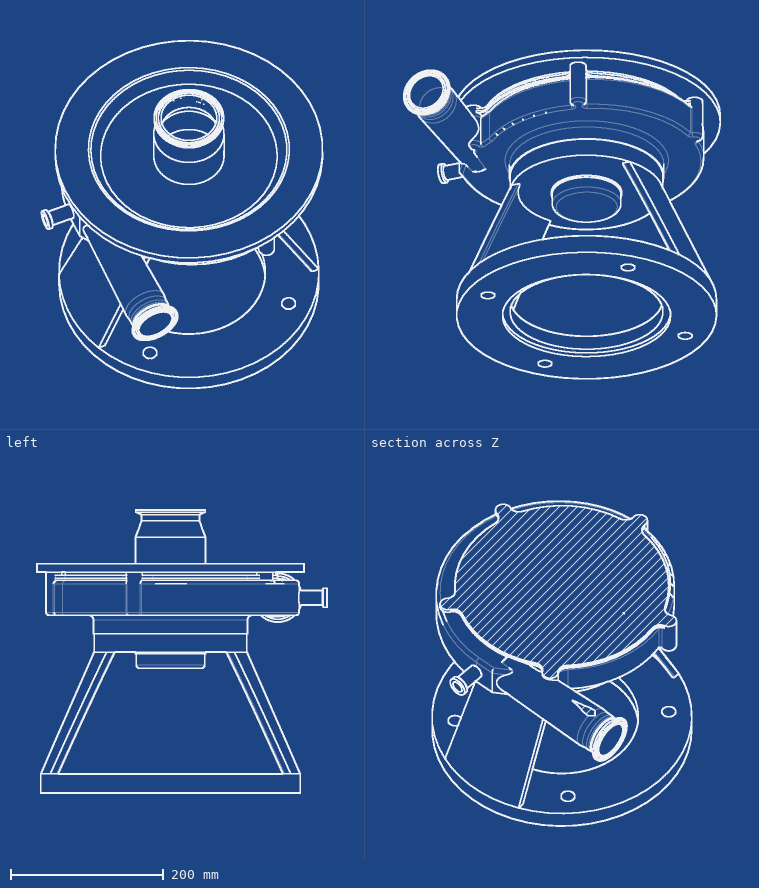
import cadquery as cq
import math

BASE_RADIUS = 170.0
BASE_THICKNESS = 25.0
BASE_OPENING_RADIUS = 100.0
BASE_RECESS_RADIUS = 110.0
BASE_RECESS_DEPTH = 5.5
BASE_BOLT_CIRCLE_RADIUS = 140.0
BASE_BOLT_HOLE_DIAMETER = 18.0
BASE_BOLT_COUNT = 4

COLLAR_BOTTOM_Z = 184.5
COLLAR_JOINT_Z = 208.5
COLLAR_LOWER_RADIUS = 100.0
COLLAR_UPPER_RADIUS = 101.0
COLLAR_BLEND_RADIUS = 6.0
HUB_BOTTOM_Z = 163.0
HUB_RADIUS = 45.0
HUB_FILLET = 5.0
HUB_SHOULDER_RADIUS = 46.0
HUB_SHOULDER_HEIGHT = 2.5

LEG_WALL = 10.5
LEG_INNER_FILLET = 2.0
LEG_TOP_HALF_WIDTH = 55.0
LEG_BOTTOM_HALF_WIDTH = 64.5

CASING_MID_Z = 255.5
CASING_HEIGHT = 46.0
CASING_BOTTOM_Z = CASING_MID_Z - CASING_HEIGHT / 2
CASING_TOP_Z = CASING_MID_Z + CASING_HEIGHT / 2
VOLUTE_START_ANGLE = -45.0
VOLUTE_END_ANGLE = 270.0
VOLUTE_END_RADIUS = 168.3
VOLUTE_GROWTH_PER_TURN = 34.3
VOLUTE_FLAT_LENGTH = 28.0
VOLUTE_THROAT_X = 72.0
VOLUTE_THROAT_SLOPE = 32.0
CASING_TOP_FILLET = 5.0
CASING_BOTTOM_FILLET = 4.0

RIM_RADIUS = 140.0
RIM_TOP_Z = 285.0
RIM_JOINT_Z = 281.0
RIM_JOINT_STEP = 0.4
NECK_RADIUS = 138.0
BOSS_COUNT = 5
BOSS_FIRST_ANGLE = 18.0
BOSS_CIRCLE_RADIUS = 152.5
BOSS_RADIUS = 10.5
LUG_BLEND_RADIUS = 12.0
LUG_OVERLAP = 0.05
BOSS_BLEND_RADIUS = 2.0

PLATE_RADIUS = 175.0
PLATE_TOP_Z = 300.0
PLATE_THICKNESS = 11.0
PLATE_BOTTOM_Z = PLATE_TOP_Z - PLATE_THICKNESS
POCKET_DEPTH = 15.0
POCKET_FLOOR_RADIUS = 115.5
POCKET_WALL_TOP_RADIUS = 128.2
POCKET_EDGE_RADIUS = 131.4
POCKET_EDGE_DEPTH = 1.5
POCKET_FLOOR_Z = PLATE_TOP_Z - POCKET_DEPTH

INLET_TOP_Z = 370.5
INLET_BODY_RADIUS = 46.0
INLET_TUBE_RADIUS = 38.1
INLET_FLANGE_RADIUS = 45.5
INLET_BORE_RADIUS = 36.45
INLET_BODY_BORE_RADIUS = 42.5
INLET_CONE_BOTTOM_Z = 334.5
INLET_CONE_TOP_Z = 356.0
INLET_BORE_CONE_BOTTOM_Z = 326.0
INLET_BORE_CONE_TOP_Z = 343.0

OUTLET_AXIS_Y = -140.3
OUTLET_END_X = 211.0
OUTLET_START_X = 28.0
OUTLET_START_RADIUS = 24.8
OUTLET_CONE_END_X = 177.0
OUTLET_CONE_END_RADIUS = 28.2
OUTLET_REDUCER_END_X = 185.5
OUTLET_REDUCER_END_RADIUS = 27.2
OUTLET_WELD_BAND_X = (192.5, 196.0)
OUTLET_TUBE_RADIUS = 26.7
OUTLET_NECK_START_X = 199.3
OUTLET_NECK_END_X = 200.5
OUTLET_NECK_RADIUS = 26.2
OUTLET_BORE_RADIUS = 23.8
OUTLET_FLANGE_RADIUS = 32.0
OUTLET_WALL = 2.0

NOZZLE_END_Y = -205.0
NOZZLE_TUBE_RADIUS = 9.55
NOZZLE_BORE_RADIUS = 7.9
NOZZLE_FLANGE_RADIUS = 12.7
NOZZLE_FLANGE_THICKNESS = 5.0
NOZZLE_TAPER_LENGTH = 1.5
NOZZLE_EMBED = 5.0

CLAMP_RIM_THICKNESS = 2.9
CLAMP_TAPER_LENGTH = 3.6
CLAMP_GROOVE_WIDTH = 3.0
CLAMP_GROOVE_DEPTH = 1.5
CLAMP_GROOVE_INSET = 2.5


def disc(radius, bottom_z, top_z):
    """Vertical cylinder about the Z axis."""
    return cq.Workplane("XY", origin=(0, 0, bottom_z)).circle(radius).extrude(top_z - bottom_z)


def turned(profile):
    """Solid of revolution about Z from (radius, z) points."""
    return cq.Workplane("XZ").polyline(profile).close().revolve(360, (0, 0), (0, 1))


def polar(radius, angle):
    """Point in the XY plane at an angle given in degrees."""
    return (radius * math.cos(math.radians(angle)), radius * math.sin(math.radians(angle)))


def clamp_profile(flange_radius, tube_radius, end):
    """Outer (radius, axial) points of a clamp flange, from its tube to its end face."""
    rim_start = end - CLAMP_RIM_THICKNESS
    taper_start = rim_start - CLAMP_TAPER_LENGTH
    return [(tube_radius, taper_start), (flange_radius, rim_start), (flange_radius, end)]


def clamp_groove(flange_radius, end):
    """Gasket groove in the end face of a clamp flange, as a ring about Z."""
    outer = flange_radius - CLAMP_GROOVE_INSET
    ring = disc(outer, end - CLAMP_GROOVE_DEPTH, end)
    return ring.cut(disc(outer - CLAMP_GROOVE_WIDTH, end - CLAMP_GROOVE_DEPTH, end))


def make_base():
    """Ring plate with bolt holes and a shallow recess under its opening."""
    holes = (
        cq.Workplane("XY")
        .polarArray(BASE_BOLT_CIRCLE_RADIUS, 360 / BASE_BOLT_COUNT / 2, 360, BASE_BOLT_COUNT)
        .circle(BASE_BOLT_HOLE_DIAMETER / 2)
        .extrude(BASE_THICKNESS)
    )
    plate = disc(BASE_RADIUS, 0, BASE_THICKNESS)
    plate = plate.cut(disc(BASE_OPENING_RADIUS, 0, BASE_THICKNESS))
    plate = plate.cut(disc(BASE_RECESS_RADIUS, 0, BASE_RECESS_DEPTH))
    return plate.cut(holes)


def is_inner_leg_edge(edge):
    """True for the long leg edges that lie on the inner cone."""
    middle = edge.positionAt(0.5)
    height_share = (middle.z - BASE_THICKNESS) / (COLLAR_BOTTOM_Z - BASE_THICKNESS)
    outer_radius = BASE_RADIUS + (COLLAR_LOWER_RADIUS - BASE_RADIUS) * height_share
    return math.hypot(middle.x, middle.y) < outer_radius - LEG_WALL / 2


def make_legs():
    """Two tapering legs cut from a conical shell, on the +Y and -Y sides."""
    shell = turned([
        (BASE_RADIUS - LEG_WALL, BASE_THICKNESS),
        (BASE_RADIUS, BASE_THICKNESS),
        (COLLAR_LOWER_RADIUS, COLLAR_BOTTOM_Z),
        (COLLAR_LOWER_RADIUS - LEG_WALL, COLLAR_BOTTOM_Z),
    ])
    outline = [
        (-LEG_BOTTOM_HALF_WIDTH, BASE_THICKNESS),
        (LEG_BOTTOM_HALF_WIDTH, BASE_THICKNESS),
        (LEG_TOP_HALF_WIDTH, COLLAR_BOTTOM_Z),
        (-LEG_TOP_HALF_WIDTH, COLLAR_BOTTOM_Z),
    ]
    wedge = cq.Workplane("XZ").polyline(outline).close().extrude(BASE_RADIUS, both=True)
    legs = shell.intersect(wedge)
    return legs.edges("%HYPERBOLA").filter(is_inner_leg_edge).fillet(LEG_INNER_FILLET)


def make_collar():
    """Stepped collar under the casing, with the motor hub hanging below it."""
    blend_start_z = CASING_BOTTOM_Z - COLLAR_BLEND_RADIUS
    blend_middle = COLLAR_BLEND_RADIUS * (1 - math.sqrt(0.5))
    collar = (
        cq.Workplane("XZ")
        .moveTo(0, COLLAR_BOTTOM_Z)
        .lineTo(COLLAR_LOWER_RADIUS, COLLAR_BOTTOM_Z)
        .lineTo(COLLAR_LOWER_RADIUS, COLLAR_JOINT_Z)
        .lineTo(COLLAR_UPPER_RADIUS, COLLAR_JOINT_Z)
        .lineTo(COLLAR_UPPER_RADIUS, blend_start_z)
        .threePointArc(
            (COLLAR_UPPER_RADIUS + blend_middle, CASING_BOTTOM_Z - blend_middle),
            (COLLAR_UPPER_RADIUS + COLLAR_BLEND_RADIUS, CASING_BOTTOM_Z),
        )
        .lineTo(0, CASING_BOTTOM_Z)
        .close()
        .revolve(360, (0, 0), (0, 1))
    )
    hub = disc(HUB_RADIUS, HUB_BOTTOM_Z, COLLAR_BOTTOM_Z).faces("<Z").edges().fillet(HUB_FILLET)
    shoulder = disc(HUB_SHOULDER_RADIUS, COLLAR_BOTTOM_Z - HUB_SHOULDER_HEIGHT, COLLAR_BOTTOM_Z)
    return collar.union(hub).union(shoulder)


def volute_point(angle):
    """Point on the volute spiral, whose radius grows steadily with the angle."""
    turns_before_end = (VOLUTE_END_ANGLE - angle) / 360
    return polar(VOLUTE_END_RADIUS - VOLUTE_GROWTH_PER_TURN * turns_before_end, angle)


def boss_angles():
    """Angles of the bosses around Z, in degrees."""
    return [BOSS_FIRST_ANGLE + i * 360 / BOSS_COUNT for i in range(BOSS_COUNT)]


def is_exposed_boss_corner(edge):
    """True where a boss meets the casing wall on the side away from the outlet."""
    corner = edge.Center()
    distances = [
        math.dist(polar(BOSS_CIRCLE_RADIUS, angle), (corner.x, corner.y)) for angle in boss_angles()
    ]
    return corner.y > 0 and math.isclose(min(distances), BOSS_RADIUS, abs_tol=0.01)


def make_bosses(bottom_z, top_z):
    """Round mounting posts around the casing, between two heights."""
    return (
        cq.Workplane("XY", origin=(0, 0, bottom_z))
        .polarArray(BOSS_CIRCLE_RADIUS, BOSS_FIRST_ANGLE, 360, BOSS_COUNT)
        .circle(BOSS_RADIUS)
        .extrude(top_z - bottom_z)
    )


def make_casing():
    """Spiral casing with the bosses blended in, ending in a flat and a sloping throat face."""
    half_sweep = (VOLUTE_START_ANGLE + VOLUTE_END_ANGLE) / 2
    quarter_sweep = (VOLUTE_END_ANGLE - VOLUTE_START_ANGLE) / 4
    throat_run = VOLUTE_THROAT_X - VOLUTE_FLAT_LENGTH
    throat_y = -VOLUTE_END_RADIUS + throat_run * math.tan(math.radians(VOLUTE_THROAT_SLOPE))
    casing = (
        cq.Workplane("XY", origin=(0, 0, CASING_BOTTOM_Z))
        .moveTo(*volute_point(VOLUTE_START_ANGLE))
        .threePointArc(volute_point(half_sweep - quarter_sweep), volute_point(half_sweep))
        .tangentArcPoint(volute_point(VOLUTE_END_ANGLE), relative=False)
        .lineTo(VOLUTE_FLAT_LENGTH, -VOLUTE_END_RADIUS)
        .lineTo(VOLUTE_THROAT_X, throat_y)
        .close()
        .extrude(CASING_HEIGHT)
    )
    casing = casing.union(make_bosses(CASING_BOTTOM_Z, CASING_TOP_Z))
    casing = casing.edges("|Z").filter(is_exposed_boss_corner).fillet(BOSS_BLEND_RADIUS)
    casing = casing.faces(">Z").edges().fillet(CASING_TOP_FILLET)
    return casing.faces("<Z").edges().fillet(CASING_BOTTOM_FILLET)


def make_rim_layer(bottom_z, top_z, growth):
    """Round rim, its radius increased by the growth, with concave blends running into each boss."""
    rim_radius = RIM_RADIUS + growth
    blend_radius = LUG_BLEND_RADIUS - growth
    blend_circle_radius = rim_radius + blend_radius
    blend_reach = BOSS_RADIUS + blend_radius - LUG_OVERLAP
    blend_cosine = (blend_circle_radius**2 + BOSS_CIRCLE_RADIUS**2 - blend_reach**2) / (
        2 * blend_circle_radius * BOSS_CIRCLE_RADIUS
    )
    blend_angle = math.degrees(math.acos(blend_cosine))
    rim = disc(rim_radius, bottom_z, top_z)
    for angle in boss_angles():
        boss_center = polar(BOSS_CIRCLE_RADIUS, angle)
        first_blend = polar(blend_circle_radius, angle - blend_angle)
        second_blend = polar(blend_circle_radius, angle + blend_angle)
        web = (
            cq.Workplane("XY", origin=(0, 0, bottom_z))
            .polyline([(0, 0), first_blend, boss_center, second_blend])
            .close()
            .extrude(top_z - bottom_z)
        )
        for center in (first_blend, second_blend):
            web = web.cut(disc(blend_radius, bottom_z, top_z).translate((*center, 0)))
        rim = rim.union(web)
    return rim


def make_rim():
    """Rim in two layers, the lower one standing out slightly at the joint."""
    lower = make_rim_layer(CASING_TOP_Z, RIM_JOINT_Z, RIM_JOINT_STEP)
    return lower.union(make_rim_layer(RIM_JOINT_Z, RIM_TOP_Z, 0))


def make_top_plate():
    """Round plate with a dished pocket, standing on the neck."""
    plate = disc(PLATE_RADIUS, PLATE_BOTTOM_Z, PLATE_TOP_Z)
    neck = disc(NECK_RADIUS, CASING_TOP_Z, PLATE_BOTTOM_Z)
    pocket = turned([
        (0, POCKET_FLOOR_Z),
        (POCKET_FLOOR_RADIUS, POCKET_FLOOR_Z),
        (POCKET_WALL_TOP_RADIUS, PLATE_TOP_Z - POCKET_EDGE_DEPTH),
        (POCKET_EDGE_RADIUS, PLATE_TOP_Z),
        (0, PLATE_TOP_Z),
    ])
    return plate.union(neck).cut(pocket)


def make_inlet():
    """Vertical inlet pipe, narrowed by a cone to its clamp flange."""
    body = turned(
        [
            (0, POCKET_FLOOR_Z),
            (INLET_BODY_RADIUS, POCKET_FLOOR_Z),
            (INLET_BODY_RADIUS, INLET_CONE_BOTTOM_Z),
            (INLET_TUBE_RADIUS, INLET_CONE_TOP_Z),
        ]
        + clamp_profile(INLET_FLANGE_RADIUS, INLET_TUBE_RADIUS, INLET_TOP_Z)
        + [(0, INLET_TOP_Z)]
    )
    bore = turned([
        (0, POCKET_FLOOR_Z),
        (INLET_BODY_BORE_RADIUS, POCKET_FLOOR_Z),
        (INLET_BODY_BORE_RADIUS, INLET_BORE_CONE_BOTTOM_Z),
        (INLET_BORE_RADIUS, INLET_BORE_CONE_TOP_Z),
        (INLET_BORE_RADIUS, INLET_TOP_Z),
        (0, INLET_TOP_Z),
    ])
    return body.cut(bore).cut(clamp_groove(INLET_FLANGE_RADIUS, INLET_TOP_Z))


def to_outlet_axis(shape):
    """Turn a shape made about Z onto the outlet axis, with +Z becoming +X."""
    return shape.rotate((0, 0, 0), (0, 1, 0), 90).translate((0, OUTLET_AXIS_Y, CASING_MID_Z))


def make_outlet():
    """Widening outlet pipe along +X that ends in a clamp flange."""
    first_band_x, second_band_x = OUTLET_WELD_BAND_X
    body = turned(
        [
            (0, OUTLET_START_X),
            (OUTLET_START_RADIUS, OUTLET_START_X),
            (OUTLET_CONE_END_RADIUS, OUTLET_CONE_END_X),
            (OUTLET_REDUCER_END_RADIUS, OUTLET_REDUCER_END_X),
            (OUTLET_REDUCER_END_RADIUS, first_band_x),
            (OUTLET_TUBE_RADIUS, second_band_x),
            (OUTLET_TUBE_RADIUS, OUTLET_NECK_START_X),
            (OUTLET_NECK_RADIUS, OUTLET_NECK_END_X),
        ]
        + clamp_profile(OUTLET_FLANGE_RADIUS, OUTLET_NECK_RADIUS, OUTLET_END_X)
        + [(0, OUTLET_END_X)]
    )
    groove = clamp_groove(OUTLET_FLANGE_RADIUS, OUTLET_END_X)
    return to_outlet_axis(body.cut(groove))


def make_outlet_bore():
    """Bore that follows the tapered pipe from the end face to the volute."""
    bore = turned([
        (0, OUTLET_START_X),
        (OUTLET_START_RADIUS - OUTLET_WALL, OUTLET_START_X),
        (OUTLET_BORE_RADIUS, OUTLET_CONE_END_X),
        (OUTLET_BORE_RADIUS, OUTLET_END_X),
        (0, OUTLET_END_X),
    ])
    return to_outlet_axis(bore)


def make_nozzle():
    """Small drain nozzle along -Y, bored as far as the casing wall."""
    length = -NOZZLE_END_Y - VOLUTE_END_RADIUS + NOZZLE_EMBED
    flange_start = length - NOZZLE_FLANGE_THICKNESS
    nozzle = turned([
        (0, 0),
        (NOZZLE_TUBE_RADIUS, 0),
        (NOZZLE_TUBE_RADIUS, flange_start - NOZZLE_TAPER_LENGTH),
        (NOZZLE_FLANGE_RADIUS, flange_start),
        (NOZZLE_FLANGE_RADIUS, length),
        (0, length),
    ])
    nozzle = nozzle.cut(disc(NOZZLE_BORE_RADIUS, NOZZLE_EMBED, length))
    root = (0, NOZZLE_END_Y + length, CASING_MID_Z)
    return nozzle.rotate((0, 0, 0), (1, 0, 0), 90).translate(root)


result = (
    make_base()
    .union(make_legs())
    .union(make_collar())
    .union(make_casing())
    .union(make_bosses(CASING_TOP_Z - CASING_TOP_FILLET, PLATE_BOTTOM_Z))
    .union(make_rim())
    .union(make_top_plate())
    .union(make_inlet())
    .union(make_outlet())
    .cut(make_outlet_bore())
    .union(make_nozzle())
)